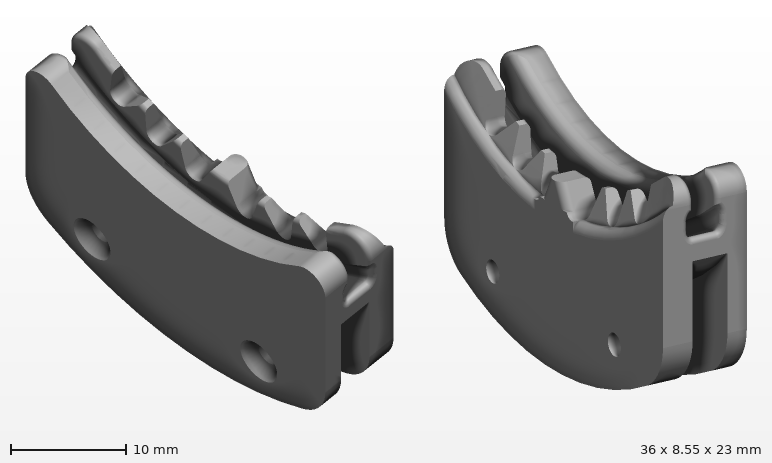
import cadquery as cq
import math

width = 36.0
thickness = 8.55
half_width = width / 2
mid_y = thickness / 2
reach = 2 * width

base_radius = 33.0
base_centre_z = base_radius
saddle_radius = 25.0
saddle_centre_z = 42.75
horn_radius = 2.0
heel_radius = 5.0

slot_front_y = 1.98
slot_back_y = 5.55
slot_roof_radius = 25.0

groove_width = 2.35
groove_floor_radius = 30.42
groove_front_y = mid_y - groove_width / 2
groove_back_y = mid_y + groove_width / 2
bead_width = 3.45
neck_radius = 28.6
bead_shoulder_radius = 0.65
bead_corner_radius = 0.5
groove_edge_radius = 0.5
front_lip_radius = 1.0

rim_radius = 28.0
rim_round = 1.0
tip_inset = 2.0
root_radius = 1.0
root_angles = (6.5, 16.5, 26.5)
flank_angle = 21.0
block_corner_radius = 0.8
block_top_margin = 0.05

inner_radius = 21.6

hole_x = 10.0
hole_z = 5.8
hole_diameter = 2.15
sink_diameter = 4.43
sink_angle = 90

tolerance = 0.0005


def tangent_arc_point(centre, towards, radius):
    """Point at `radius` from `centre` in the direction of `towards`."""
    dx = towards[0] - centre[0]
    dz = towards[1] - centre[1]
    scale = radius / math.hypot(dx, dz)
    return centre[0] + dx * scale, centre[1] + dz * scale


def arc_middle(centre, radius, start, end):
    """Middle of the minor arc from `start` to `end`."""
    halfway = ((start[0] + end[0]) / 2, (start[1] + end[1]) / 2)
    return tangent_arc_point(centre, halfway, radius)


def mirrored(point):
    return -point[0], point[1]


def prism(sketch, y_start, y_end):
    """Extrude a closed XZ sketch from y_start to y_end."""
    return sketch.extrude(y_start - y_end).translate((0, y_start, 0))


def disc(centre_z, radius, y_start, y_end):
    return prism(cq.Workplane("XZ").center(0, centre_z).circle(radius), y_start, y_end)


def revolved(sketch, centre_z):
    """Turn a closed sketch of (radius, Y) points about a Y axis at height centre_z."""
    return sketch.close().revolve(360, (0, 0, 0), (0, 1, 0)).translate((0, 0, centre_z))


def make_body():
    base_centre = (0, base_centre_z)
    saddle_centre = (0, saddle_centre_z)

    horn_x = half_width - horn_radius
    horn_z = saddle_centre_z - math.sqrt((saddle_radius + horn_radius) ** 2 - horn_x**2)
    horn_centre = (horn_x, horn_z)
    horn_side = (half_width, horn_z)
    horn_end = tangent_arc_point(saddle_centre, horn_centre, saddle_radius)
    horn_top = (horn_x, horn_z + horn_radius)

    heel_x = half_width - heel_radius
    heel_z = base_centre_z - math.sqrt((base_radius - heel_radius) ** 2 - heel_x**2)
    heel_centre = (heel_x, heel_z)
    heel_side = (half_width, heel_z)
    heel_end = tangent_arc_point(base_centre, heel_centre, base_radius)
    heel_mid = arc_middle(heel_centre, heel_radius, heel_side, heel_end)

    outline = (
        cq.Workplane("XZ")
        .moveTo(*mirrored(heel_end))
        .threePointArc((0, 0), heel_end)
        .threePointArc(heel_mid, heel_side)
        .lineTo(*horn_side)
        .threePointArc(horn_top, horn_end)
        .threePointArc((0, saddle_centre_z - saddle_radius), mirrored(horn_end))
        .threePointArc(mirrored(horn_top), mirrored(horn_side))
        .lineTo(*mirrored(heel_side))
        .threePointArc(mirrored(heel_mid), mirrored(heel_end))
        .close()
    )
    return prism(outline, 0, thickness)


def make_slot():
    below = prism(
        cq.Workplane("XZ").center(0, base_centre_z).rect(reach, reach), slot_front_y, slot_back_y
    )
    return below.cut(disc(base_centre_z, slot_roof_radius, slot_front_y, slot_back_y))


def make_groove():
    """Ring with a straight neck that widens below into the bead channel."""
    wall_y = mid_y - bead_width / 2
    depth = groove_front_y - wall_y
    shoulder_y = wall_y + bead_shoulder_radius
    shoulder_r = neck_radius + math.sqrt(bead_shoulder_radius**2 - (bead_shoulder_radius - depth) ** 2)
    corner_y = wall_y + bead_corner_radius
    corner_r = groove_floor_radius - bead_corner_radius
    neck = (neck_radius, groove_front_y)
    shoulder_end = (shoulder_r, wall_y)
    shoulder_mid = arc_middle((shoulder_r, shoulder_y), bead_shoulder_radius, neck, shoulder_end)
    corner_start = (corner_r, wall_y)
    corner_end = (groove_floor_radius, corner_y)
    corner_mid = arc_middle((corner_r, corner_y), bead_corner_radius, corner_start, corner_end)

    def opposite(point):
        return point[0], thickness - point[1]

    section = (
        cq.Workplane("XY")
        .moveTo(inner_radius, groove_front_y)
        .lineTo(*neck)
        .threePointArc(shoulder_mid, shoulder_end)
        .lineTo(*corner_start)
        .threePointArc(corner_mid, corner_end)
        .lineTo(*opposite(corner_end))
        .threePointArc(opposite(corner_mid), opposite(corner_start))
        .lineTo(*opposite(shoulder_end))
        .threePointArc(opposite(shoulder_mid), opposite(neck))
        .lineTo(inner_radius, groove_back_y)
    )
    return revolved(section, saddle_centre_z)


def is_groove_rim(edge):
    """True for the edges where the groove breaks out of the two ends and the top."""
    centre = edge.Center()
    start = edge.startPoint()
    centre_distance = math.hypot(centre.x, centre.z - saddle_centre_z)
    start_distance = math.hypot(start.x, start.z - saddle_centre_z)

    in_groove = (
        abs(centre.y - mid_y) < bead_width / 2 + tolerance
        and centre_distance < groove_floor_radius + tolerance
    )
    on_end = abs(abs(centre.x) - half_width) < tolerance
    on_wall = abs(abs(centre.y - mid_y) - groove_width / 2) < tolerance
    on_top = on_wall and start_distance < neck_radius - tolerance
    return in_groove and (on_end or on_top)


def round_groove_rim(solid):
    rim_edges = [edge for edge in solid.edges().vals() if is_groove_rim(edge)]
    return solid.newObject(rim_edges).fillet(groove_edge_radius)


def make_front_lip():
    """Ring that rounds the saddle edge of the front wall on its groove side."""
    outer = saddle_radius + front_lip_radius
    bend = front_lip_radius * (1 - math.sqrt(0.5))
    section = (
        cq.Workplane("XY")
        .moveTo(inner_radius, groove_front_y - front_lip_radius)
        .lineTo(saddle_radius, groove_front_y - front_lip_radius)
        .threePointArc((saddle_radius + bend, groove_front_y - bend), (outer, groove_front_y))
        .lineTo(inner_radius, groove_front_y)
    )
    return revolved(section, saddle_centre_z)


def make_back_relief():
    """Ring that leaves cone-backed tooth tips and a lower, rounded rim behind them."""
    rim_y = thickness - rim_round
    tip_y = thickness - tip_inset
    bend = rim_round * (1 - math.sqrt(0.5))
    cone_slope = (rim_y - tip_y) / (rim_radius - saddle_radius)
    inner_y = tip_y - cone_slope * (saddle_radius - inner_radius)
    section = (
        cq.Workplane("XY")
        .moveTo(inner_radius, inner_y)
        .lineTo(rim_radius, rim_y)
        .threePointArc((rim_radius + bend, thickness - bend), (rim_radius + rim_round, thickness))
        .lineTo(inner_radius, thickness)
    )
    return revolved(section, saddle_centre_z)


def make_root(angle, y_start, y_end):
    """Round-bottomed V between two teeth, on a radius `angle` degrees from straight down."""
    flank = math.radians(flank_angle)
    centre_z = root_radius - rim_radius
    tangent_x = root_radius * math.cos(flank)
    tangent_z = centre_z - root_radius * math.sin(flank)
    mouth_z = -inner_radius
    mouth_x = tangent_x + (mouth_z - tangent_z) * math.tan(flank)
    profile = (
        cq.Workplane("XZ")
        .moveTo(-mouth_x, mouth_z)
        .lineTo(-tangent_x, tangent_z)
        .threePointArc((0, -rim_radius), (tangent_x, tangent_z))
        .lineTo(mouth_x, mouth_z)
        .close()
    )
    root = prism(profile, y_start, y_end).rotate((0, 0, 0), (0, 1, 0), angle)
    return root.translate((0, 0, saddle_centre_z))


def make_block():
    """Centre tooth that runs back to the rear face, with its foot blended into the roots."""
    first_root = math.radians(root_angles[0])
    lean = first_root + math.radians(flank_angle)
    foot_x = rim_radius * math.sin(first_root)
    tangent_x = (rim_radius - root_radius) * math.sin(first_root) - root_radius * math.cos(lean)
    tangent_z = (
        saddle_centre_z
        - (rim_radius - root_radius) * math.cos(first_root)
        - root_radius * math.sin(lean)
    )
    top_z = saddle_centre_z - saddle_radius + block_top_margin
    bottom_z = saddle_centre_z - rim_radius - rim_round
    top_x = tangent_x - (top_z - tangent_z) * math.tan(lean)
    bottom_x = tangent_x + (tangent_z - bottom_z) * math.tan(lean)

    wedge_profile = (
        cq.Workplane("XZ")
        .polyline([(-top_x, top_z), (-bottom_x, bottom_z), (bottom_x, bottom_z), (top_x, top_z)])
        .close()
    )
    wedge = prism(wedge_profile, groove_back_y, thickness)
    wedge = wedge.faces(">Y").edges("not |X").fillet(block_corner_radius)

    foot_profile = (
        cq.Workplane("XZ")
        .polyline([(-foot_x, tangent_z), (-foot_x, bottom_z), (foot_x, bottom_z), (foot_x, tangent_z)])
        .close()
    )
    foot = prism(foot_profile, groove_back_y, thickness)
    for angle in (root_angles[0], -root_angles[0]):
        foot = foot.cut(make_root(angle, groove_back_y, thickness))
    return wedge.union(foot)


def make_screw_holes():
    sink_depth = (sink_diameter - hole_diameter) / 2 / math.tan(math.radians(sink_angle / 2))
    hole = cq.Solid.makeCylinder(
        hole_diameter / 2, thickness, cq.Vector(0, 0, hole_z), cq.Vector(0, 1, 0)
    )
    sink = cq.Solid.makeCone(
        sink_diameter / 2, hole_diameter / 2, sink_depth, cq.Vector(0, 0, hole_z), cq.Vector(0, 1, 0)
    )
    screw_hole = cq.Workplane(hole).union(cq.Workplane(sink))
    return screw_hole.translate((-hole_x, 0, 0)).union(screw_hole.translate((hole_x, 0, 0)))


result = make_body().cut(make_slot()).cut(make_groove())
result = round_groove_rim(result)
result = result.cut(make_front_lip())
result = result.cut(make_back_relief().cut(make_block()))
for root_angle in root_angles:
    for signed_angle in (root_angle, -root_angle):
        result = result.cut(make_root(signed_angle, mid_y, thickness - rim_round))
result = result.cut(make_screw_holes())